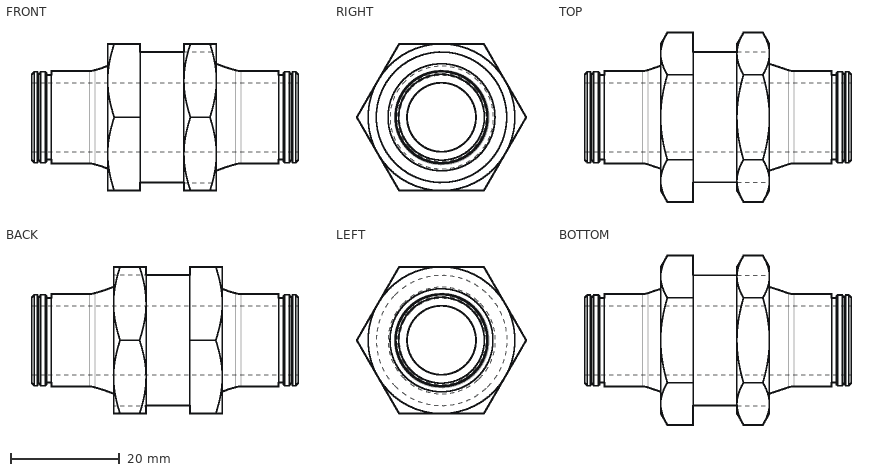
import cadquery as cq
import math

TOTAL_LENGTH = 48.95
BORE_RADIUS = 6.3

TIP_END_RADIUS = 7.9
TIP_LAND_RADIUS = 8.35
TIP_CHAMFER = 0.5
FRONT_LAND_END = 1.0
GROOVE_BOTTOM = 1.3
GROOVE_RADIUS = 7.85
REAR_LAND_START = 1.65
REAR_LAND_END = 2.45
NECK_START = 2.75
REAR_STEP_RADIUS = 8.15
NECK_RADIUS = 7.8

SPIGOT_START = 3.6
SPIGOT_RADIUS = 8.5
FLARE_START = 10.58
FLARE_BLEND_LENGTH = 1.05
FLARE_ANGLE = math.radians(18.5)

HEX_SIDES = 6
ACROSS_FLATS = 27.0
HEX_THICKNESS = 5.95
HEX_OFFSET = 13.95
HEX_GAP = 8.05
HEX_CHAMFER_ANGLE = math.radians(30)
BARREL_RADIUS = 12.0

LEFT_END = -TOTAL_LENGTH / 2
HEX_START = LEFT_END + HEX_OFFSET
HEX_END = HEX_START + HEX_THICKNESS
NUT_START = HEX_END + HEX_GAP
NUT_END = NUT_START + HEX_THICKNESS
CORNER_RADIUS = ACROSS_FLATS / 2 / math.cos(math.pi / HEX_SIDES)
CHAMFER_DEPTH = (CORNER_RADIUS - ACROSS_FLATS / 2) * math.tan(HEX_CHAMFER_ANGLE)


def revolve_about_x(profile):
    """Turn a closed outline (X along the axis, Y as radius) into a solid."""
    return profile.close().revolve(360, (0, 0, 0), (1, 0, 0))


def make_tube_end(length):
    """Left tube end with its tip at LEFT_END, reaching inward by the given length."""
    blend_radius = FLARE_BLEND_LENGTH / math.sin(FLARE_ANGLE)

    def blend_point(angle):
        along = FLARE_START + blend_radius * math.sin(angle)
        radius = SPIGOT_RADIUS + blend_radius * (1 - math.cos(angle))
        return along, radius

    cone_start, cone_start_radius = blend_point(FLARE_ANGLE)
    cone_end_radius = cone_start_radius + (length - cone_start) * math.tan(FLARE_ANGLE)
    profile = (
        cq.Workplane("XY", origin=(LEFT_END, 0, 0))
        .moveTo(0, 0)
        .lineTo(0, TIP_END_RADIUS)
        .lineTo(TIP_CHAMFER, TIP_LAND_RADIUS)
        .lineTo(FRONT_LAND_END, TIP_LAND_RADIUS)
        .lineTo(GROOVE_BOTTOM, GROOVE_RADIUS)
        .lineTo(REAR_LAND_START, TIP_LAND_RADIUS)
        .lineTo(REAR_LAND_END, TIP_LAND_RADIUS)
        .lineTo(NECK_START, REAR_STEP_RADIUS)
        .lineTo(NECK_START, NECK_RADIUS)
        .lineTo(SPIGOT_START, NECK_RADIUS)
        .lineTo(SPIGOT_START, SPIGOT_RADIUS)
        .lineTo(FLARE_START, SPIGOT_RADIUS)
        .threePointArc(blend_point(FLARE_ANGLE / 2), (cone_start, cone_start_radius))
        .lineTo(length, cone_end_radius)
        .lineTo(length, 0)
    )
    return revolve_about_x(profile)


def make_cylinder(start, end, radius):
    """Solid cylinder on the X axis between two X positions."""
    return cq.Workplane("YZ", origin=(start, 0, 0)).circle(radius).extrude(end - start)


def make_hex(start, chamfer_far_face):
    """Hexagon with corners on Y; the -X face is always chamfered, the +X face optionally."""
    prism = (
        cq.Workplane("YZ", origin=(start, 0, 0))
        .polygon(HEX_SIDES, 2 * CORNER_RADIUS)
        .extrude(HEX_THICKNESS)
    )
    profile = (
        cq.Workplane("XY", origin=(start, 0, 0))
        .moveTo(0, 0)
        .lineTo(0, ACROSS_FLATS / 2)
        .lineTo(CHAMFER_DEPTH, CORNER_RADIUS)
    )
    if chamfer_far_face:
        profile = (
            profile
            .lineTo(HEX_THICKNESS - CHAMFER_DEPTH, CORNER_RADIUS)
            .lineTo(HEX_THICKNESS, ACROSS_FLATS / 2)
        )
    else:
        profile = profile.lineTo(HEX_THICKNESS, CORNER_RADIUS)
    envelope = revolve_about_x(profile.lineTo(HEX_THICKNESS, 0))
    return prism.intersect(envelope)


def make_body():
    """Bored fitting: two tube ends, a fixed hexagon and the barrel that carries the nut."""
    left_end = make_tube_end(HEX_OFFSET)
    right_end = make_tube_end(TOTAL_LENGTH / 2 - NUT_END).mirror("YZ")
    fixed_hex = make_hex(HEX_START, chamfer_far_face=False)
    barrel = make_cylinder(HEX_END, NUT_END, BARREL_RADIUS)
    bore = make_cylinder(LEFT_END, -LEFT_END, BORE_RADIUS)
    return left_end.union(fixed_hex).union(barrel).union(right_end).cut(bore)


def make_nut():
    """Loose hexagon nut at the +X end of the barrel, chamfered on both faces."""
    return make_hex(NUT_START, chamfer_far_face=True).cut(
        make_cylinder(NUT_START, NUT_END, BARREL_RADIUS)
    )


body = make_body()
nut = make_nut()
result = cq.Compound.makeCompound([body.val(), nut.val()])